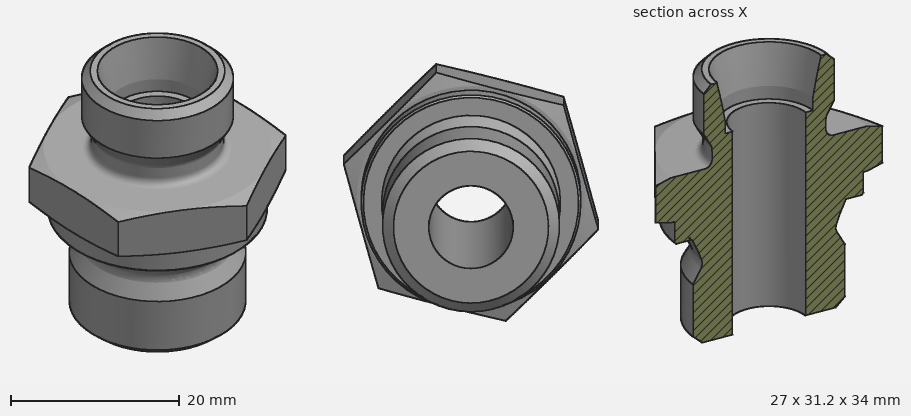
import cadquery as cq
import math

total_length = 34.0
stud_thread_top = 8.1
stud_neck_z = 10.5
flange_bottom = 14.0
hex_bottom = 17.0
hex_top = 23.02
tube_thread_bottom = 27.6

stud_diameter = 20.95
stud_neck_diameter = 18.1
flange_cone_diameter = 21.18
flange_diameter = 26.0
hex_across_flats = 27.0
tube_neck_diameter = 15.7
tube_thread_diameter = 18.0

stud_chamfer_height = 1.15
stud_chamfer_width = 1.3
flange_chamfer = 0.27
tube_chamfer = 1.02
hex_chamfer_angle = 15.0
tube_relief_angle = 30.0
stud_neck_radius = 1.12
tube_neck_radius = 0.8
hex_blend_radius = 1.0

bore_diameter = 10.0
socket_diameter = 12.0
socket_mouth_diameter = 14.25
socket_depth = 7.0
socket_cone_angle = 12.0


def tan_deg(angle):
    return math.tan(math.radians(angle))


def revolved(points):
    """Turn a closed outline of (radius, height) points about the Z axis."""
    return cq.Workplane("XZ").polyline(points).close().revolve(360, (0, 0, 0), (0, 1, 0))


def blend_ring(body, diameter, height, radius):
    """Fillet the circular edge at the given diameter and height."""
    reach = diameter / 2 + 0.05
    margin = 0.05
    ring = cq.selectors.BoxSelector(
        (-reach, -reach, height - margin), (reach, reach, height + margin), boundingbox=True
    )
    return body.edges(ring).edges("%CIRCLE").fillet(radius)


def make_stud_end():
    """Lower threaded stud with its undercut, seat cone and sealing flange."""
    stud_r = stud_diameter / 2
    flange_r = flange_diameter / 2
    stud = revolved([
        (0, 0),
        (stud_r - stud_chamfer_width, 0),
        (stud_r, stud_chamfer_height),
        (stud_r, stud_thread_top),
        (stud_neck_diameter / 2, stud_neck_z),
        (flange_cone_diameter / 2, flange_bottom),
        (flange_r - flange_chamfer, flange_bottom),
        (flange_r, flange_bottom + flange_chamfer),
        (flange_r, hex_bottom),
        (0, hex_bottom),
    ])
    return blend_ring(stud, stud_neck_diameter, stud_neck_z, stud_neck_radius)


def make_hexagon():
    """Wrench hexagon with corners along Y, both faces chamfered to a cone."""
    corner_r = hex_across_flats / 2 / math.cos(math.pi / 6)
    corners = [
        (corner_r * math.sin(i * math.pi / 3), corner_r * math.cos(i * math.pi / 3))
        for i in range(6)
    ]
    prism = (
        cq.Workplane("XY", origin=(0, 0, hex_bottom))
        .polyline(corners)
        .close()
        .extrude(hex_top - hex_bottom)
    )
    flat_r = hex_across_flats / 2
    envelope_r = corner_r + 0.35
    drop = (envelope_r - flat_r) * tan_deg(hex_chamfer_angle)
    envelope = revolved([
        (0, hex_bottom),
        (flat_r, hex_bottom),
        (envelope_r, hex_bottom + drop),
        (envelope_r, hex_top - drop),
        (flat_r, hex_top),
        (0, hex_top),
    ])
    return prism.intersect(envelope)


def make_tube_end():
    """Upper threaded tube connection with a relief cone and neck."""
    thread_r = tube_thread_diameter / 2
    neck_r = tube_neck_diameter / 2
    neck_top = tube_thread_bottom - (thread_r - neck_r) / tan_deg(tube_relief_angle)
    tube = revolved([
        (0, hex_top),
        (neck_r, hex_top),
        (neck_r, neck_top),
        (thread_r, tube_thread_bottom),
        (thread_r, total_length - tube_chamfer),
        (thread_r - tube_chamfer, total_length),
        (0, total_length),
    ])
    return blend_ring(tube, tube_neck_diameter, neck_top, tube_neck_radius)


def make_bore():
    """Through bore, socket counterbore and conical socket mouth."""
    bore_r = bore_diameter / 2
    socket_r = socket_diameter / 2
    mouth_r = socket_mouth_diameter / 2
    socket_bottom = total_length - socket_depth
    cone_bottom = total_length - (mouth_r - socket_r) / tan_deg(socket_cone_angle)
    return revolved([
        (0, 0),
        (bore_r, 0),
        (bore_r, socket_bottom),
        (socket_r, socket_bottom),
        (socket_r, cone_bottom),
        (mouth_r, total_length),
        (0, total_length),
    ])


body = make_stud_end().union(make_hexagon()).union(make_tube_end())
body = blend_ring(body, tube_neck_diameter, hex_top, hex_blend_radius)
result = body.cut(make_bore())